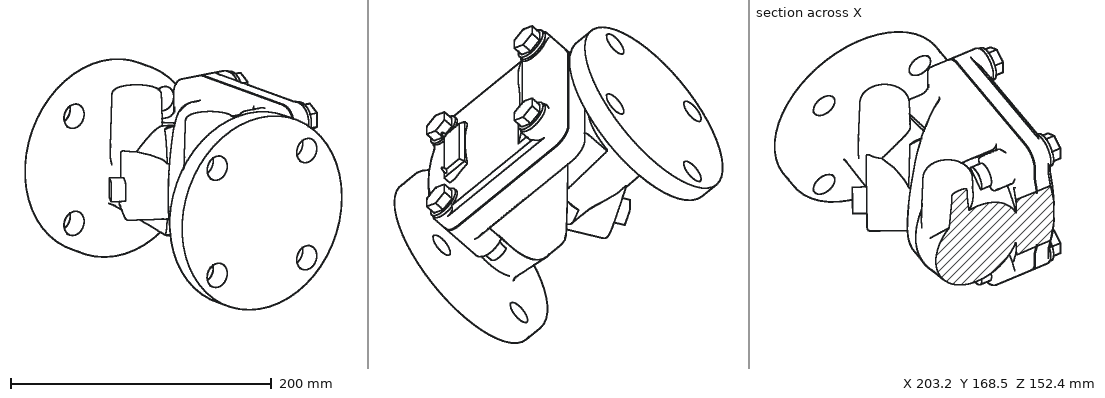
import cadquery as cq
import math


SEARCH_MARGIN = 1.0

FACE_TO_FACE = 203.2
FLANGE_DIA = 152.4
FLANGE_THICKNESS = 18.15
FLANGE_EDGE_RADIUS = 3.2
BOLT_CIRCLE_DIA = 120.65
BOLT_HOLE_DIA = 19.05
BOLT_HOLE_COUNT = 4
FIRST_BOLT_ANGLE = 45
NECK_FILLET = 8.0
FLANGE_BACK_X = FACE_TO_FACE / 2 - FLANGE_THICKNESS

PIPE_RADIUS = 33.3
BODY_HALF_WIDTH = 60.0
SIDE_WALL_START_Y = 12.4
SIDE_ARC_RADIUS = 36.7
BELLY_JOIN_Y = -13.0
CHAMBER_END_X = 38.5
CHAMBER_CURVE_START_X = 0.0
CHAMBER_CURVE_RADIUS = 74.0
SEAT_PLANE_OFFSET = -9.0
SEAT_RIM_FILLET = 10.0
BODY_EXIT_CENTRE_Y = 14.0
OUTLET_CENTRE_Y = 3.4
OUTLET_HALF_WIDTH = 39.7
OUTLET_TAPER_END_X = 70.5

INLET_TAPER_START_X = -70.0
INLET_WAIST_X = -38.0
INLET_WAIST_HALF_WIDTH = 37.5
INLET_TAPER_END_X = -14.0
INLET_END_HALF_HEIGHT = 25.0
INLET_END_HALF_WIDTH = 44.0
SEAT_BARREL_RADIUS = 43.5
SEAT_BARREL_CENTRE_X = -16.0
SEAT_BARREL_END_X = 26.0
INLET_CHEEK_START_X = -63.5
INLET_CHEEK_END_X = -8.0
INLET_CHEEK_START_HALF_WIDTH = 33.8
INLET_CHEEK_END_HALF_WIDTH = 44.5
INLET_CHEEK_LOW_Y = 12.0
INLET_CHEEK_FILLET = 7.0

JOINT_HALF_SIZE = 65.7
BOLT_SPACING_HALF = 51.4
BOLT_BOSS_RADIUS = JOINT_HALF_SIZE - BOLT_SPACING_HALF
OUTLET_BULGE_X = 72.3
OUTLET_BULGE_HALF_WIDTH = 40.0
JOINT_UNDERSIDE_Y = 38.6
JOINT_FILLET = 4.5
JOINT_EDGE_RADIUS = 1.0
JOINT_SPLIT_Y = 57.3
JOINT_GROOVE = 0.5
COVER_PLATE_Y = 72.4
COVER_RIM_CHAMFER = 3.4
OUTLET_BOSS_LOW_Y = 21.2
OUTLET_BOSS_FILLET = 3.5
BOSS_ROOT_RADIUS = 9.4
BOSS_ROOT_LOW_Y = 12.4
OUTLET_SEAT_Y = 72.0
INLET_SEAT_Y = 81.7
SEAT_EDGE_RADIUS = 2.0
INLET_RIDGE_TOP_Y = 80.3
INLET_RIDGE_TOP_X = -39.0
INLET_RIDGE_FOOT_X = -27.0
DOME_CENTRE_X = 4.0
DOME_RADIUS = 46.0
DOME_TOP_Y = 79.8
PAD_TOP_Y = 81.8
PAD_START_X = 24.0
PAD_END_X = 46.0
PAD_HALF_WIDTH = 28.0
PAD_EDGE_CHAMFER = 3.0
NIB_X = 42.3
NIB_SPACING_HALF = 24.7
NIB_TOP_Y = 84.9
NIB_BASE_RADIUS = 2.3
NIB_TIP_RADIUS = 0.6

HEAD_SIDES = 6
WASHER_DIA = 26.5
WASHER_THICKNESS = 2.3
HEAD_FLATS = 19.05
HEAD_HEIGHT = 8.27

UPRIGHT_BOSS_XS = (-44.2, 50.8)
UPRIGHT_BOSS_Y = -12.0
UPRIGHT_BOSS_TOP_Z = 67.0
UPRIGHT_BOSS_TOP_RADIUS = 18.9
UPRIGHT_BOSS_FOOT_RADIUS = 20.9
UPRIGHT_BOSS_FILLET = 3.5

DRAIN_TILT = math.radians(30)
DRAIN_CENTRE = (-15.2, -45.0)
DRAIN_RADIUS = 23.7
DRAIN_TAIL = 44.0
DRAIN_DEPTH = 48.0
DRAIN_EDGE_RADIUS = 2.5
PLUG_SQUARE = 15.6
PLUG_LENGTH = 11.0
PLUG_CORNER_RADIUS = 2.0


def at_y(y):
    """Sketch plane facing +/-Y at height y: local axes are X and Z."""
    return cq.Workplane("XZ", origin=(0, y, 0))


def at_x(x):
    """Sketch plane facing +X: local axes are Y and Z."""
    return cq.Workplane("YZ", origin=(x, 0, 0))


def rise(sketch, height):
    """Extrude a sketch made with at_y towards +Y."""
    return sketch.extrude(-height)


def cylinder_y(x, z, radius, low_y, high_y):
    return rise(at_y(low_y).center(x, z).circle(radius), high_y - low_y)


def end_flange(side, neck_centre_y, neck_half_y, neck_half_z, neck_start):
    """Flange and neck at the +X (side = 1) or -X (side = -1) end."""
    flange = at_x(side * FACE_TO_FACE / 2).circle(FLANGE_DIA / 2).extrude(-side * FLANGE_THICKNESS)
    back_face = "<X" if side > 0 else ">X"
    flange = flange.faces(back_face).edges().fillet(FLANGE_EDGE_RADIUS)
    neck = (
        at_x(side * neck_start)
        .center(neck_centre_y, 0)
        .ellipse(neck_half_y, neck_half_z)
        .extrude(side * (FLANGE_BACK_X - neck_start))
    )
    flange = flange.union(neck)
    reach = FLANGE_DIA / 2 - 2 * FLANGE_EDGE_RADIUS
    root = cq.selectors.BoxSelector(
        (side * FLANGE_BACK_X - SEARCH_MARGIN, -reach, -reach),
        (side * FLANGE_BACK_X + SEARCH_MARGIN, reach, reach),
        boundingbox=True,
    )
    flange = flange.edges(root).fillet(NECK_FILLET)
    holes = (
        at_x(side * FACE_TO_FACE / 2)
        .polarArray(BOLT_CIRCLE_DIA / 2, FIRST_BOLT_ANGLE, 360, BOLT_HOLE_COUNT)
        .circle(BOLT_HOLE_DIA / 2)
        .extrude(-side * FLANGE_THICKNESS)
    )
    return flange.cut(holes)


def chamber_outline(top_y):
    """Half-oval chamber section: wide bottom arc, two side arcs, straight walls."""
    arc_centre_z = BODY_HALF_WIDTH - SIDE_ARC_RADIUS
    join_angle = math.asin((SIDE_WALL_START_Y - BELLY_JOIN_Y) / SIDE_ARC_RADIUS)
    join_z = arc_centre_z + SIDE_ARC_RADIUS * math.cos(join_angle)
    mid_y = SIDE_WALL_START_Y - SIDE_ARC_RADIUS * math.sin(join_angle / 2)
    mid_z = arc_centre_z + SIDE_ARC_RADIUS * math.cos(join_angle / 2)
    return (
        at_x(-FACE_TO_FACE / 2)
        .moveTo(top_y, BODY_HALF_WIDTH)
        .lineTo(SIDE_WALL_START_Y, BODY_HALF_WIDTH)
        .threePointArc((mid_y, mid_z), (BELLY_JOIN_Y, join_z))
        .threePointArc((-PIPE_RADIUS, 0), (BELLY_JOIN_Y, -join_z))
        .threePointArc((mid_y, -mid_z), (SIDE_WALL_START_Y, -BODY_HALF_WIDTH))
        .lineTo(top_y, -BODY_HALF_WIDTH)
        .close()
    )


def wall_plan():
    """Plan of the chamber walls: straight towards the outlet, curving in towards the inlet."""
    reach_x = CHAMBER_CURVE_START_X - CHAMBER_CURVE_RADIUS * math.sin(math.pi / 4)
    mid_x = CHAMBER_CURVE_START_X - CHAMBER_CURVE_RADIUS * math.sin(math.pi / 8)
    reach_z = BODY_HALF_WIDTH - CHAMBER_CURVE_RADIUS * (1 - math.cos(math.pi / 4))
    mid_z = BODY_HALF_WIDTH - CHAMBER_CURVE_RADIUS * (1 - math.cos(math.pi / 8))
    outline = (
        at_y(-PIPE_RADIUS)
        .moveTo(CHAMBER_END_X, BODY_HALF_WIDTH)
        .lineTo(CHAMBER_CURVE_START_X, BODY_HALF_WIDTH)
        .threePointArc((mid_x, mid_z), (reach_x, reach_z))
        .lineTo(reach_x, -reach_z)
        .threePointArc((mid_x, -mid_z), (CHAMBER_CURVE_START_X, -BODY_HALF_WIDTH))
        .lineTo(CHAMBER_END_X, -BODY_HALF_WIDTH)
        .close()
    )
    return rise(outline, PIPE_RADIUS + JOINT_SPLIT_Y)


def beyond_seat_plane():
    """Everything on the outlet side of the slanted seat plane."""
    reach = FLANGE_DIA / 2
    return (
        cq.Workplane("XY", origin=(0, 0, -reach))
        .polyline([
            (SEAT_PLANE_OFFSET - reach, reach),
            (SEAT_PLANE_OFFSET + reach, -reach),
            (SEAT_PLANE_OFFSET + reach, reach),
        ])
        .close()
        .extrude(2 * reach)
    )


def chamber():
    length = FACE_TO_FACE / 2 + CHAMBER_END_X
    body = chamber_outline(JOINT_UNDERSIDE_Y).extrude(length)
    body = body.intersect(wall_plan()).intersect(beyond_seat_plane())
    return body.faces("<(1,1,0)").edges("not >Y").fillet(SEAT_RIM_FILLET)


def outlet_taper():
    """Blend from the oval chamber to the smaller outlet neck."""
    return (
        at_x(CHAMBER_END_X)
        .center(BODY_EXIT_CENTRE_Y, 0)
        .ellipse(BODY_EXIT_CENTRE_Y + PIPE_RADIUS, BODY_HALF_WIDTH)
        .workplane(offset=OUTLET_TAPER_END_X - CHAMBER_END_X)
        .center(OUTLET_CENTRE_Y - BODY_EXIT_CENTRE_Y, 0)
        .ellipse(OUTLET_CENTRE_Y + PIPE_RADIUS, OUTLET_HALF_WIDTH)
        .loft(combine=True)
    )


def inlet_cone():
    """Inlet pipe widening into the round barrel that carries the seat."""
    cone = (
        at_x(INLET_TAPER_START_X)
        .ellipse(PIPE_RADIUS, PIPE_RADIUS)
        .workplane(offset=INLET_WAIST_X - INLET_TAPER_START_X)
        .ellipse(PIPE_RADIUS, INLET_WAIST_HALF_WIDTH)
        .workplane(offset=INLET_TAPER_END_X - INLET_WAIST_X)
        .ellipse(INLET_END_HALF_HEIGHT, INLET_END_HALF_WIDTH)
        .loft(ruled=True, combine=True)
    )
    run_out = (
        at_x(INLET_TAPER_END_X)
        .ellipse(INLET_END_HALF_HEIGHT, INLET_END_HALF_WIDTH)
        .extrude(SEAT_BARREL_END_X - INLET_TAPER_END_X)
    )
    barrel_centre = cq.Vector(SEAT_BARREL_CENTRE_X, SEAT_PLANE_OFFSET - SEAT_BARREL_CENTRE_X, 0)
    axis = cq.Vector(1, 1, 0).normalized()
    barrel = cq.Solid.makeCylinder(
        SEAT_BARREL_RADIUS, 2 * FACE_TO_FACE, barrel_centre - axis * FACE_TO_FACE, axis,
    )
    return cone.union(run_out.intersect(cq.Workplane(barrel)))


def inlet_cheeks():
    """Side walls rising from the inlet pipe to the cover joint."""
    outline = at_y(INLET_CHEEK_LOW_Y).polyline([
        (INLET_CHEEK_START_X, -INLET_CHEEK_START_HALF_WIDTH),
        (INLET_CHEEK_END_X, -INLET_CHEEK_END_HALF_WIDTH),
        (INLET_CHEEK_END_X, INLET_CHEEK_END_HALF_WIDTH),
        (INLET_CHEEK_START_X, INLET_CHEEK_START_HALF_WIDTH),
    ]).close()
    return rise(outline, JOINT_UNDERSIDE_Y - INLET_CHEEK_LOW_Y)


def joint_plate(low_y, high_y, inset=0.0):
    """Square plate with rounded corners and a bulge on the outlet edge."""
    edge = JOINT_HALF_SIZE - inset
    corner = BOLT_BOSS_RADIUS - inset
    straight = BOLT_SPACING_HALF
    bow = BOLT_SPACING_HALF + corner * math.sqrt(0.5)
    outline = (
        at_y(low_y)
        .moveTo(edge, OUTLET_BULGE_HALF_WIDTH)
        .lineTo(edge, straight)
        .threePointArc((bow, bow), (straight, edge))
        .lineTo(-straight, edge)
        .threePointArc((-bow, bow), (-edge, straight))
        .lineTo(-edge, -straight)
        .threePointArc((-bow, -bow), (-straight, -edge))
        .lineTo(straight, -edge)
        .threePointArc((bow, -bow), (edge, -straight))
        .lineTo(edge, -OUTLET_BULGE_HALF_WIDTH)
        .threePointArc((OUTLET_BULGE_X - inset, 0), (edge, OUTLET_BULGE_HALF_WIDTH))
        .close()
    )
    return rise(outline, high_y - low_y)


def root_edges(low_x, high_x, low_z, high_z):
    """Selects joint underside edges whose centres lie in the window or its mirror in Z."""
    def window(sign):
        return cq.selectors.BoxSelector(
            (low_x, JOINT_UNDERSIDE_Y - SEARCH_MARGIN, sign * low_z),
            (high_x, JOINT_UNDERSIDE_Y + SEARCH_MARGIN, sign * high_z),
        )
    return window(1) + window(-1)


def body_joint():
    """Body half of the cover joint, with the chamber and inlet walls blended into it."""
    plate = joint_plate(JOINT_UNDERSIDE_Y, JOINT_SPLIT_Y - JOINT_GROOVE)
    plate = plate.faces("<Y").edges().fillet(JOINT_EDGE_RADIUS)
    chamber_roots = root_edges(
        -JOINT_HALF_SIZE, CHAMBER_END_X - SEARCH_MARGIN,
        INLET_CHEEK_START_HALF_WIDTH, BODY_HALF_WIDTH + SEARCH_MARGIN,
    )
    joint = plate.union(chamber()).edges(chamber_roots).fillet(JOINT_FILLET)
    cheek_roots = root_edges(
        INLET_CHEEK_START_X, INLET_CHEEK_END_X, INLET_CHEEK_START_HALF_WIDTH, INLET_CHEEK_END_HALF_WIDTH,
    )
    cheek_plate = joint_plate(JOINT_UNDERSIDE_Y, JOINT_SPLIT_Y - JOINT_GROOVE, JOINT_EDGE_RADIUS)
    walls = cheek_plate.union(inlet_cheeks()).edges(cheek_roots).fillet(INLET_CHEEK_FILLET)
    joint = joint.union(walls)
    joint = joint.union(joint_plate(JOINT_SPLIT_Y - JOINT_GROOVE, JOINT_SPLIT_Y, JOINT_GROOVE))
    for side in (-1, 1):
        boss = cylinder_y(BOLT_SPACING_HALF, side * BOLT_SPACING_HALF, BOLT_BOSS_RADIUS,
                          OUTLET_BOSS_LOW_Y, JOINT_SPLIT_Y - JOINT_GROOVE)
        joint = joint.union(boss.faces("<Y").edges().fillet(OUTLET_BOSS_FILLET))
        joint = joint.union(cylinder_y(BOLT_SPACING_HALF, side * BOLT_SPACING_HALF, BOSS_ROOT_RADIUS,
                                       BOSS_ROOT_LOW_Y, JOINT_UNDERSIDE_Y))
    return joint


def inlet_ridge():
    """Ridge joining the two tall inlet bolt bosses, sloping down to the cover plate."""
    ridge = (
        cq.Workplane("XY", origin=(0, 0, -BOLT_SPACING_HALF))
        .polyline([
            (-JOINT_HALF_SIZE, JOINT_SPLIT_Y),
            (-JOINT_HALF_SIZE, INLET_RIDGE_TOP_Y),
            (INLET_RIDGE_TOP_X, INLET_RIDGE_TOP_Y),
            (INLET_RIDGE_FOOT_X, COVER_PLATE_Y),
            (INLET_RIDGE_FOOT_X, JOINT_SPLIT_Y),
        ])
        .close()
        .extrude(2 * BOLT_SPACING_HALF)
    )
    outer_edge = cq.selectors.NearestToPointSelector((-JOINT_HALF_SIZE, INLET_RIDGE_TOP_Y, 0))
    return ridge.edges(outer_edge).fillet(SEAT_EDGE_RADIUS)


def cover_dome():
    dome_height = DOME_TOP_Y - COVER_PLATE_Y
    sphere_radius = (DOME_RADIUS ** 2 + dome_height ** 2) / (2 * dome_height)
    sphere = cq.Workplane("XY").sphere(sphere_radius)
    sphere = sphere.translate((DOME_CENTRE_X, DOME_TOP_Y - sphere_radius, 0))
    return sphere.intersect(cylinder_y(DOME_CENTRE_X, 0, DOME_RADIUS, JOINT_SPLIT_Y, DOME_TOP_Y))


def cover_pad():
    """Raised pad on the outlet half of the cover with two pointed nibs."""
    pad = rise(
        at_y(JOINT_SPLIT_Y)
        .center((PAD_START_X + PAD_END_X) / 2, 0)
        .rect(PAD_END_X - PAD_START_X, 2 * PAD_HALF_WIDTH),
        PAD_TOP_Y - JOINT_SPLIT_Y,
    )
    pad = pad.faces(">Y").edges().chamfer(PAD_EDGE_CHAMFER)
    shank_top_y = PAD_TOP_Y - PAD_EDGE_CHAMFER
    for side in (-1, 1):
        nib_z = side * NIB_SPACING_HALF
        shank = cylinder_y(NIB_X, nib_z, NIB_BASE_RADIUS, COVER_PLATE_Y, shank_top_y)
        tip = cq.Solid.makeCone(
            NIB_BASE_RADIUS, NIB_TIP_RADIUS, NIB_TOP_Y - shank_top_y,
            pnt=(NIB_X, shank_top_y, nib_z), dir=(0, 1, 0),
        )
        pad = pad.union(shank).union(cq.Workplane(tip))
    return pad


def cover():
    plate = joint_plate(JOINT_SPLIT_Y, COVER_PLATE_Y)
    plate = plate.faces(">Y").edges().chamfer(COVER_RIM_CHAMFER)
    plate = plate.union(inlet_ridge()).union(cover_dome()).union(cover_pad())
    for end, seat_y in ((-1, INLET_SEAT_Y), (1, OUTLET_SEAT_Y)):
        for side in (-1, 1):
            boss = cylinder_y(end * BOLT_SPACING_HALF, side * BOLT_SPACING_HALF,
                              BOLT_BOSS_RADIUS, JOINT_SPLIT_Y, seat_y)
            plate = plate.union(boss.faces(">Y").edges().fillet(SEAT_EDGE_RADIUS))
    return plate


def cover_bolt(x, z, seat_y):
    """Washer and hexagon head, corners pointing along Z."""
    washer = cylinder_y(x, z, WASHER_DIA / 2, seat_y - SEAT_EDGE_RADIUS, seat_y + WASHER_THICKNESS)
    corner_dia = HEAD_FLATS / math.cos(math.pi / HEAD_SIDES)
    head = rise(at_y(0).polygon(HEAD_SIDES, corner_dia), HEAD_HEIGHT)
    head = head.rotate((0, 0, 0), (0, 1, 0), 180 / HEAD_SIDES).translate((x, seat_y + WASHER_THICKNESS, z))
    return washer.union(head)


def upright_boss(x):
    """Round boss standing along +Z with a light draft."""
    cone = cq.Workplane(cq.Solid.makeCone(
        UPRIGHT_BOSS_FOOT_RADIUS, UPRIGHT_BOSS_TOP_RADIUS, UPRIGHT_BOSS_TOP_Z,
        pnt=(x, UPRIGHT_BOSS_Y, 0), dir=(0, 0, 1),
    ))
    return cone.faces(">Z").edges().fillet(UPRIGHT_BOSS_FILLET)


def drain_plane():
    """Drain boss face: local x runs down towards the outlet, local y is Z."""
    return cq.Workplane(cq.Plane(
        origin=(DRAIN_CENTRE[0], DRAIN_CENTRE[1], 0),
        xDir=(math.cos(DRAIN_TILT), -math.sin(DRAIN_TILT), 0),
        normal=(-math.sin(DRAIN_TILT), -math.cos(DRAIN_TILT), 0),
    ))


def drain_boss():
    """D-shaped boss whose straight tail runs into the inlet pipe, with a square plug."""
    boss = (
        drain_plane()
        .moveTo(-DRAIN_TAIL, -DRAIN_RADIUS)
        .lineTo(0, -DRAIN_RADIUS)
        .threePointArc((DRAIN_RADIUS, 0), (0, DRAIN_RADIUS))
        .lineTo(-DRAIN_TAIL, DRAIN_RADIUS)
        .close()
        .extrude(-DRAIN_DEPTH)
    )
    face_direction = cq.Vector(-math.sin(DRAIN_TILT), -math.cos(DRAIN_TILT), 0)
    face = cq.selectors.DirectionMinMaxSelector(face_direction, True)
    boss = boss.faces(face).edges().fillet(DRAIN_EDGE_RADIUS)
    plug = drain_plane().rect(PLUG_SQUARE, PLUG_SQUARE).extrude(PLUG_LENGTH)
    plug_sides = cq.selectors.ParallelDirSelector(face_direction)
    return boss.union(plug.edges(plug_sides).fillet(PLUG_CORNER_RADIUS))


def build():
    part = end_flange(-1, 0, PIPE_RADIUS, PIPE_RADIUS, -INLET_TAPER_START_X)
    part = part.union(inlet_cone())
    part = part.union(body_joint())
    part = part.union(outlet_taper())
    part = part.union(end_flange(1, OUTLET_CENTRE_Y, OUTLET_CENTRE_Y + PIPE_RADIUS,
                                 OUTLET_HALF_WIDTH, OUTLET_TAPER_END_X))
    part = part.union(drain_boss())
    for x in UPRIGHT_BOSS_XS:
        part = part.union(upright_boss(x))
    part = part.union(cover())
    for end, seat_y in ((-1, INLET_SEAT_Y), (1, OUTLET_SEAT_Y)):
        for side in (-1, 1):
            part = part.union(cover_bolt(end * BOLT_SPACING_HALF, side * BOLT_SPACING_HALF, seat_y))
    return part


result = build()